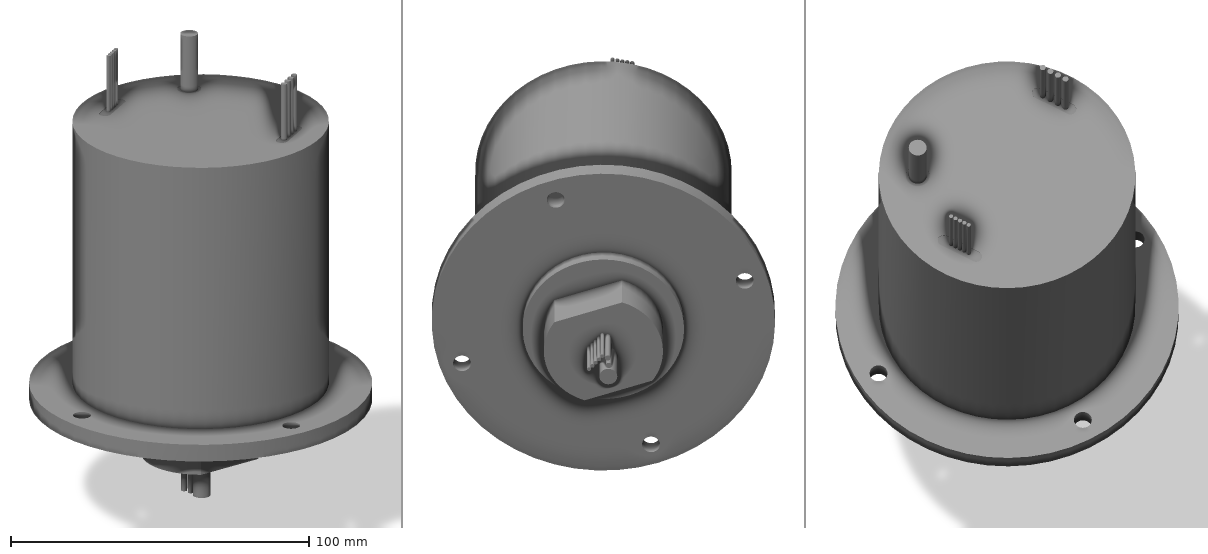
import cadquery as cq
import math

flange_diameter = 115.0
flange_thickness = 6.0
housing_diameter = 86.0
housing_height = 94.0
spigot_diameter = 54.0
spigot_height = 4.8
boss_diameter = 40.0
boss_width_across_flats = 32.0
boss_height = 14.7

mounting_hole_count = 4
mounting_hole_diameter = 6.0
mounting_circle_diameter = 100.0

upper_lead_length = 20.0
lower_lead_length = 14.1
cable_diameter = 6.0
power_wire_count = 4
power_wire_diameter = 2.0
power_wire_pitch = 2.9
signal_wire_count = 5
signal_wire_diameter = 1.4
signal_wire_pitch = 1.7

seal_recess = 0.2
cable_opening_diameter = 8.0
slot_width = 4.0
slot_length = 16.5
cable_radius = 30.0
cable_angle = 150
slot_radius = 32.1
power_slot_angle = 30
signal_slot_angle = 210
slot_direction = 120

lower_cable_center = (2.0, -1.0)
lower_power_center = (-0.6, -2.3)
lower_power_direction = 12
lower_signal_center = (-4.5, 1.2)
lower_signal_direction = 60

housing_top = flange_thickness + housing_height
boss_top = -spigot_height
boss_bottom = boss_top - boss_height
seal_level = housing_top - seal_recess


def polar_point(radius, angle):
    return (radius * math.cos(math.radians(angle)), radius * math.sin(math.radians(angle)))


def cylinder(diameter, bottom, height, center=(0, 0)):
    return cq.Workplane("XY", origin=(*center, bottom)).circle(diameter / 2).extrude(height)


def wire_row(diameter, pitch, count, center, direction, bottom, length):
    offsets = [polar_point((index - (count - 1) / 2) * pitch, direction) for index in range(count)]
    row_plane = cq.Workplane("XY", origin=(*center, bottom))
    return row_plane.pushPoints(offsets).circle(diameter / 2).extrude(length)


def power_wires(center, direction, bottom, length):
    return wire_row(
        power_wire_diameter, power_wire_pitch, power_wire_count, center, direction, bottom, length
    )


def signal_wires(center, direction, bottom, length):
    return wire_row(
        signal_wire_diameter, signal_wire_pitch, signal_wire_count, center, direction, bottom, length
    )


def make_slot(center):
    return (
        cq.Workplane("XY", origin=(*center, seal_level))
        .slot2D(slot_length, slot_width, slot_direction)
        .extrude(seal_recess)
    )


def make_boss():
    flats = cq.Workplane("XY", origin=(0, 0, boss_bottom)).rect(boss_width_across_flats, boss_diameter)
    return cylinder(boss_diameter, boss_bottom, boss_height).intersect(flats.extrude(boss_height))


body = cylinder(flange_diameter, 0, flange_thickness)
body = body.union(cylinder(housing_diameter, flange_thickness, housing_height))
body = body.union(cylinder(spigot_diameter, boss_top, spigot_height))
body = body.union(make_boss())

mounting_holes = (
    cq.Workplane("XY")
    .polarArray(mounting_circle_diameter / 2, 0, 360, mounting_hole_count)
    .circle(mounting_hole_diameter / 2)
    .extrude(flange_thickness)
)
body = body.cut(mounting_holes)

cable_center = polar_point(cable_radius, cable_angle)
power_center = polar_point(slot_radius, power_slot_angle)
signal_center = polar_point(slot_radius, signal_slot_angle)
body = body.cut(cylinder(cable_opening_diameter, seal_level, seal_recess, cable_center))
body = body.cut(make_slot(power_center))
body = body.cut(make_slot(signal_center))

upper_length = upper_lead_length + seal_recess
body = body.union(cylinder(cable_diameter, seal_level, upper_length, cable_center))
body = body.union(power_wires(power_center, slot_direction, seal_level, upper_length))
body = body.union(signal_wires(signal_center, slot_direction, seal_level, upper_length))

leads_bottom = boss_bottom - lower_lead_length
body = body.union(cylinder(cable_diameter, leads_bottom, lower_lead_length, lower_cable_center))
body = body.union(power_wires(lower_power_center, lower_power_direction, leads_bottom, lower_lead_length))
body = body.union(signal_wires(lower_signal_center, lower_signal_direction, leads_bottom, lower_lead_length))

result = body